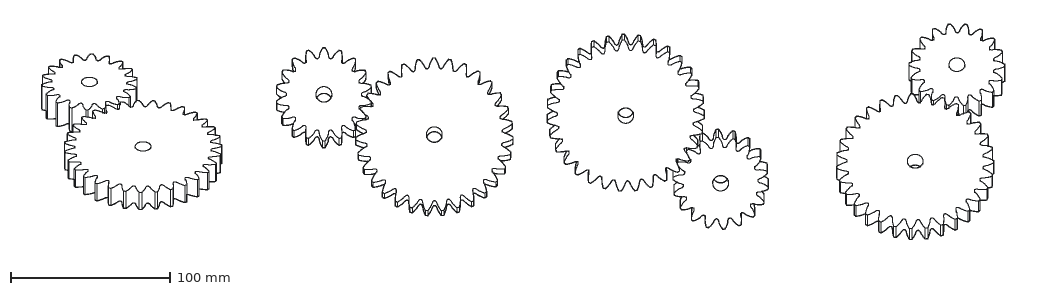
import cadquery as cq
import math

overall_length = 152.9
wheel_outer_diameter = 99.0
pinion_outer_diameter = 60.2
wheel_teeth = 31
pinion_teeth = 18
pressure_angle = math.radians(25)
pinion_profile_shift = 0.23
wheel_profile_shift = 0.0
bore_diameter = 10.0
pinion_width = 18.3
wheel_width = 13.3
root_round_depth = 1.0

module = wheel_outer_diameter / (wheel_teeth + 2)
dedendum = 1.25 * module
flank_intervals = 5


def involute(angle):
    """Involute function of a pressure angle."""
    return math.tan(angle) - angle


def polar(radius, angle):
    return (radius * math.cos(angle), radius * math.sin(angle))


def base_radius(teeth):
    return module * teeth / 2 * math.cos(pressure_angle)


def tooth_half_angle(teeth, shift, radius):
    """Angle from a tooth's centreline to its involute flank at a given radius."""
    at_pitch_circle = (math.pi / 2 + 2 * shift / module * math.tan(pressure_angle)) / teeth
    local_angle = math.acos(base_radius(teeth) / radius)
    return at_pitch_circle + involute(pressure_angle) - involute(local_angle)


def side_reach(teeth, shift, outer_diameter):
    """Distance along X from a gear's axis to the tips beside a gap that lies on the X axis."""
    tip_radius = outer_diameter / 2
    return tip_radius * math.cos(math.pi / teeth - tooth_half_angle(teeth, shift, tip_radius))


def make_gear(teeth, shift, outer_diameter, width):
    """Spur gear about the Z axis, centred on Z = 0, with a tooth gap on the +X axis."""
    pitch_angle = 2 * math.pi / teeth
    tip_radius = outer_diameter / 2
    root_radius = module * teeth / 2 - dedendum + shift
    flank_start = max(base_radius(teeth), root_radius + root_round_depth)
    flank_step = (tip_radius - flank_start) / flank_intervals
    flank_radii = [flank_start + flank_step * i for i in range(flank_intervals + 1)]
    flank = [(radius, tooth_half_angle(teeth, shift, radius)) for radius in flank_radii]

    first_tip = polar(tip_radius, pitch_angle / 2 - flank[-1][1])
    outline = cq.Workplane("XY", origin=(0, 0, -width / 2)).moveTo(*first_tip)
    for index in range(teeth):
        tooth = (index + 0.5) * pitch_angle
        next_tooth = tooth + pitch_angle
        tip_end = polar(tip_radius, tooth + flank[-1][1])
        falling_flank = [polar(radius, tooth + angle) for radius, angle in reversed(flank[:-1])]
        gap_bottom = polar(root_radius, tooth + pitch_angle / 2)
        rising_flank = [polar(radius, next_tooth - angle) for radius, angle in flank]
        outline = outline.threePointArc(polar(tip_radius, tooth), tip_end)
        outline = outline.spline([*falling_flank, gap_bottom, *rising_flank], includeCurrent=True)
    blank = outline.close().extrude(width)
    return blank.faces(">Z").workplane(origin=(0, 0, 0)).hole(bore_diameter).solids()


pinion_gear = (pinion_teeth, pinion_profile_shift, pinion_outer_diameter)
wheel_gear = (wheel_teeth, wheel_profile_shift, wheel_outer_diameter)

centre_distance = overall_length - side_reach(*pinion_gear) - side_reach(*wheel_gear)

pinion = make_gear(*pinion_gear, pinion_width)

wheel = make_gear(*wheel_gear, wheel_width).translate((centre_distance, 0, 0))

result = cq.Compound.makeCompound([pinion.val(), wheel.val()])